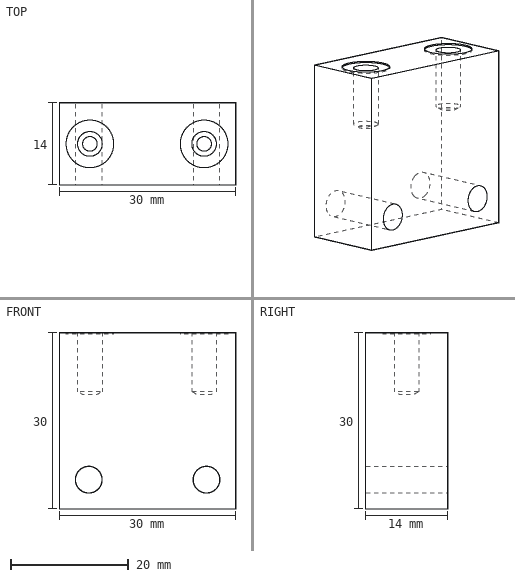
import cadquery as cq
import math

width = 30.0
thickness = 14.0
height = 30.0

cross_hole_diameter = 4.5
cross_hole_spacing = 20.0
cross_hole_height = 5.0

port_inset = 5.2
port_spacing = 19.4
seat_diameter = 8.1
seat_depth = 0.2
port_diameter = 4.2
port_depth = 10.0
port_floor_diameter = 2.5
drill_point_angle = 118.0


def make_port(x):
    """Cutter for one port: shallow seal seat, bore and tapered end with a flat floor."""
    seat_radius = seat_diameter / 2
    bore_radius = port_diameter / 2
    floor_radius = port_floor_diameter / 2
    taper_depth = (bore_radius - floor_radius) / math.tan(math.radians(drill_point_angle / 2))
    seat_z = height - seat_depth
    taper_z = height - port_depth
    floor_z = taper_z - taper_depth
    half_profile = (
        cq.Workplane("XZ")
        .moveTo(0, height)
        .lineTo(seat_radius, height)
        .lineTo(seat_radius, seat_z)
        .lineTo(bore_radius, seat_z)
        .lineTo(bore_radius, taper_z)
        .lineTo(floor_radius, floor_z)
        .lineTo(0, floor_z)
        .close()
    )
    return half_profile.revolve(360, (0, 0, 0), (0, 1, 0)).translate((x, 0, 0))


def make_cross_hole(x):
    """Cutter for one plain hole running through the full thickness."""
    return (
        cq.Workplane("XZ")
        .center(x, cross_hole_height)
        .circle(cross_hole_diameter / 2)
        .extrude(thickness / 2, both=True)
    )


result = cq.Workplane("XY").box(width, thickness, height, centered=(True, True, False))

first_port_x = port_inset - width / 2
for port_x in (first_port_x, first_port_x + port_spacing):
    result = result.cut(make_port(port_x))

for hole_x in (-cross_hole_spacing / 2, cross_hole_spacing / 2):
    result = result.cut(make_cross_hole(hole_x))